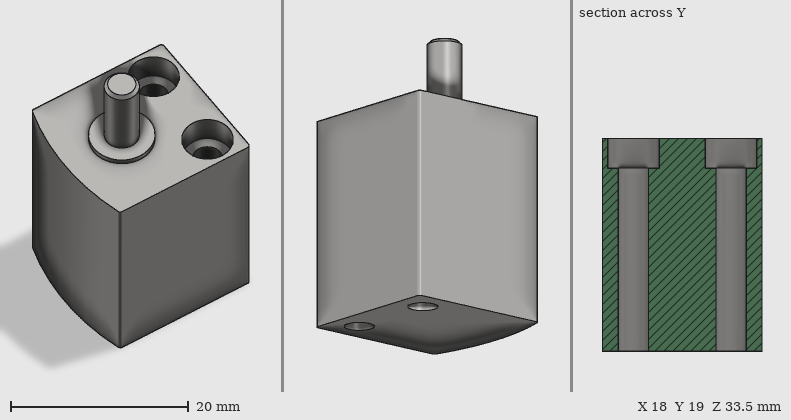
import cadquery as cq
import math

width = 18.0
depth = 19.0
housing_height = 24.0
bow_radius = 29.98
edge_radius = 0.4
shaft_to_back = 11.42

boss_diameter = 7.5
boss_height = 0.65

hole_diameter = 3.4
counterbore_diameter = 5.8
counterbore_depth = 3.35
hole_spacing = 11.0
hole_to_back = 3.5

total_height = 33.5
shaft_diameter = 4.0
shaft_chamfer = 0.4

back_y = shaft_to_back
front_y = back_y - depth
bow_sagitta = bow_radius - math.sqrt(bow_radius**2 - (width / 2) ** 2)
corner_y = front_y + bow_sagitta


def make_block():
    """Block with a bowed front and rounded upright edges."""
    outline = (
        cq.Workplane("XY")
        .moveTo(width / 2, back_y)
        .lineTo(-width / 2, back_y)
        .lineTo(-width / 2, corner_y)
        .threePointArc((0, front_y), (width / 2, corner_y))
        .close()
    )
    return outline.extrude(housing_height).edges("|Z").fillet(edge_radius)


def make_mounting_hole(x):
    """Cutter for one through hole with its counterbore in the top face."""
    centre = (x, back_y - hole_to_back)
    through = cq.Workplane("XY").center(*centre).circle(hole_diameter / 2).extrude(housing_height)
    counterbore = (
        cq.Workplane("XY", origin=(0, 0, housing_height))
        .center(*centre)
        .circle(counterbore_diameter / 2)
        .extrude(-counterbore_depth)
    )
    return through.union(counterbore)


def make_housing():
    """Block with its boss, mounting holes and shaft bore."""
    boss = (
        cq.Workplane("XY", origin=(0, 0, housing_height))
        .circle(boss_diameter / 2)
        .extrude(boss_height)
    )
    bore = (
        cq.Workplane("XY", origin=(0, 0, housing_height))
        .circle(shaft_diameter / 2)
        .extrude(boss_height)
    )
    body = make_block().union(boss).cut(bore)
    for side in (-1, 1):
        body = body.cut(make_mounting_hole(side * hole_spacing / 2))
    return body


def make_shaft():
    """Plain round shaft with a chamfered tip, standing on the floor of the bore."""
    return (
        cq.Workplane("XY", origin=(0, 0, housing_height))
        .circle(shaft_diameter / 2)
        .extrude(total_height - housing_height)
        .faces(">Z")
        .chamfer(shaft_chamfer)
    )


housing = make_housing()
shaft = make_shaft()

result = cq.Compound.makeCompound([housing.val(), shaft.val()])